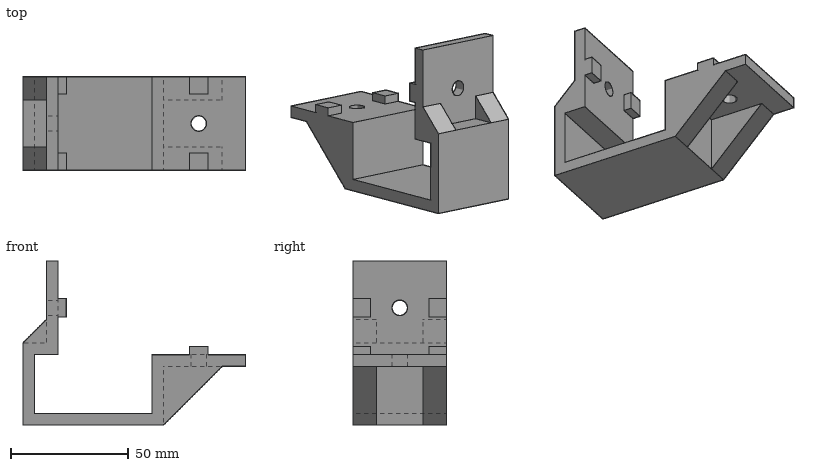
import cadquery as cq

length = 95.0
width = 40.0
height = 70.0

wall = 5.0
channel_width = 50.0
shelf_top = 30.0

gusset_width = 10.0
upright_gusset_leg = 10.0

tab_length = 8.0
tab_height = 3.5
tab_width = 7.5
hole_diameter = 6.5

channel_right = wall + channel_width
block_right = channel_right + wall
shelf_bottom = shelf_top - wall
shelf_center = (channel_right + length) / 2
ledge_top = shelf_top + wall
upright_left = upright_gusset_leg
upright_right = upright_left + wall
upright_center = (shelf_top + height) / 2


def box(x_min, x_max, y_min, y_max, z_min, z_max):
    """Box between the given limits."""
    size = (x_max - x_min, y_max - y_min, z_max - z_min)
    return cq.Workplane("XY").box(*size, centered=False).translate((x_min, y_min, z_min))


def prism(points, y_min, y_max):
    """XZ outline extruded along Y between the given limits."""
    return cq.Workplane("XZ", origin=(0, y_max, 0)).polyline(points).close().extrude(y_max - y_min)


def edge_spans(depth):
    """Y limits of a strip of the given depth along each side edge."""
    half = width / 2
    return [(-half, depth - half), (half - depth, half)]


strip_outline = [
    (0, 0),
    (block_right, 0),
    (block_right, shelf_bottom),
    (length, shelf_bottom),
    (length, shelf_top),
    (channel_right, shelf_top),
    (channel_right, wall),
    (wall, wall),
    (wall, shelf_top),
    (upright_right, shelf_top),
    (upright_right, height),
    (upright_left, height),
    (upright_left, ledge_top),
    (0, ledge_top),
]
result = prism(strip_outline, -width / 2, width / 2)

upright_gusset = [
    (0, ledge_top),
    (upright_left, ledge_top),
    (upright_left, ledge_top + upright_gusset_leg),
]
shelf_gusset = [
    (block_right, 0),
    (block_right + shelf_bottom, shelf_bottom),
    (block_right, shelf_bottom),
]
for y_min, y_max in edge_spans(gusset_width):
    result = result.union(prism(upright_gusset, y_min, y_max))
    result = result.union(prism(shelf_gusset, y_min, y_max))

half_tab = tab_length / 2
for y_min, y_max in edge_spans(tab_width):
    shelf_tab = box(
        shelf_center - half_tab, shelf_center + half_tab, y_min, y_max, shelf_top, shelf_top + tab_height
    )
    upright_tab = box(
        upright_right, upright_right + tab_height, y_min, y_max,
        upright_center - half_tab, upright_center + half_tab,
    )
    result = result.union(shelf_tab).union(upright_tab)

hole_radius = hole_diameter / 2
shelf_hole = (
    cq.Workplane("XY", origin=(shelf_center, 0, shelf_bottom)).circle(hole_radius).extrude(wall)
)
upright_hole = (
    cq.Workplane("YZ", origin=(upright_left, 0, upright_center)).circle(hole_radius).extrude(wall)
)
result = result.cut(shelf_hole).cut(upright_hole)